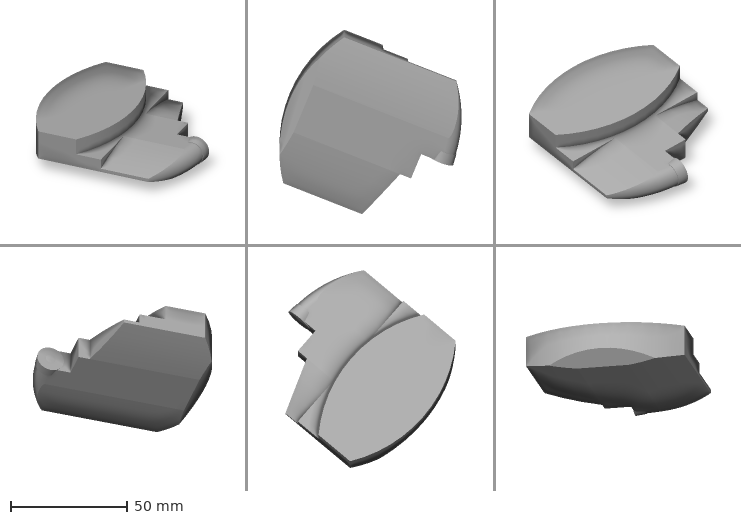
import cadquery as cq
import math

half_width = 35.0
slab_half_thickness = 5.21
lens_top_z = 12.5

lens_half_length = 20.15
lens_sagitta = 11.25
lens_corner_x = lens_half_length - lens_sagitta
edge_flat = 0.2

strip_half_width = 11.3
crown_edge_z = 0.8
crown_start_x = 20.6
taper_side_x = 27.7
taper_inner_x = 35.75
notch_x = 40.85
notch_y = -0.3
chamfer = 6.4

rim_radius = 56.3
rim_axis_x = -1.0
rim_round_centre = rim_radius - slab_half_thickness

tip_x = 49.9
tip_face_radius = 6.0
tip_back_radius = 5.5
tip_length = 4.8
dome_radius = 4.4 / 2
dome_height = 0.19

crown_centre_depth = (
    half_width**2 + crown_edge_z**2 - strip_half_width**2 - slab_half_thickness**2
) / (2 * (slab_half_thickness - crown_edge_z))
crown_radius = math.hypot(half_width, crown_edge_z + crown_centre_depth)


def make_lens():
    """Raised lens, standing over the full height before the underside is shaped."""
    return (
        cq.Workplane("XY")
        .workplane(offset=-slab_half_thickness)
        .moveTo(-lens_corner_x, half_width)
        .lineTo(lens_corner_x, half_width)
        .threePointArc((lens_half_length, 0), (lens_corner_x, -half_width))
        .lineTo(-lens_corner_x, -half_width)
        .lineTo(-lens_corner_x - edge_flat, -half_width + edge_flat)
        .threePointArc((-lens_half_length, 0), (-lens_corner_x - edge_flat, half_width - edge_flat))
        .close()
        .extrude(lens_top_z + slab_half_thickness)
    )


def make_slab():
    """Stepped and tapered slab, limited on the -Y side by its rounded rim."""
    outline = (
        cq.Workplane("XY")
        .workplane(offset=-slab_half_thickness)
        .moveTo(-lens_corner_x, half_width)
        .lineTo(taper_side_x, half_width)
        .lineTo(taper_inner_x, strip_half_width)
        .lineTo(notch_x, strip_half_width)
        .lineTo(notch_x, notch_y)
        .lineTo(rim_axis_x + rim_radius, notch_y)
        .lineTo(rim_axis_x + rim_radius, -half_width)
        .lineTo(-lens_corner_x, -half_width)
        .close()
        .extrude(2 * slab_half_thickness)
    )
    rim = (
        cq.Workplane("XZ")
        .moveTo(0, -slab_half_thickness)
        .lineTo(rim_round_centre, -slab_half_thickness)
        .threePointArc((rim_radius, 0), (rim_round_centre, slab_half_thickness))
        .lineTo(0, slab_half_thickness)
        .close()
        .revolve(360, (0, 0, 0), (0, 1, 0))
        .translate((rim_axis_x, 0, 0))
    )
    return outline.intersect(rim)


def crown_cutter(start_x, end_x, side, face):
    """Material outside the crown on one side (+1 is +Y) and one face (+1 is the top)."""
    middle_y = (strip_half_width + half_width) / 2
    middle_z = math.sqrt(crown_radius**2 - middle_y**2) - crown_centre_depth
    return (
        cq.Workplane("YZ")
        .workplane(offset=start_x)
        .moveTo(side * strip_half_width, face * slab_half_thickness)
        .threePointArc(
            (side * middle_y, face * middle_z),
            (side * half_width, face * crown_edge_z),
        )
        .lineTo(side * half_width, face * slab_half_thickness)
        .close()
        .extrude(end_x - start_x)
    )


def make_chamfer_cutter():
    """45 degree wedge under the left end."""
    return (
        cq.Workplane("XZ")
        .moveTo(-lens_half_length, -slab_half_thickness)
        .lineTo(-lens_half_length + chamfer, -slab_half_thickness)
        .lineTo(-lens_half_length, -slab_half_thickness + chamfer)
        .close()
        .extrude(half_width, both=True)
    )


def make_tip():
    """Tapered button with a domed face, turned about its own Y axis."""
    dome_sphere_radius = (dome_radius**2 + dome_height**2) / (2 * dome_height)
    dome_middle_r = dome_radius / 2
    dome_middle_y = (
        dome_height - dome_sphere_radius + math.sqrt(dome_sphere_radius**2 - dome_middle_r**2)
    )
    return (
        cq.Workplane("XY")
        .moveTo(0, -tip_length)
        .lineTo(tip_back_radius, -tip_length)
        .lineTo(tip_face_radius, 0)
        .lineTo(dome_radius, 0)
        .threePointArc((dome_middle_r, dome_middle_y), (0, dome_height))
        .close()
        .revolve(360, (0, 0, 0), (0, 1, 0))
        .translate((tip_x, 0, 0))
    )


def make_holder(tip):
    """Lens and slab in one piece, with a recess that fits the tip."""
    holder = make_lens().union(make_slab())
    right_end_x = rim_axis_x + rim_radius
    for side in (1, -1):
        holder = holder.cut(crown_cutter(-lens_half_length, right_end_x, side, -1))
        holder = holder.cut(crown_cutter(crown_start_x, right_end_x, side, 1))
    return holder.cut(make_chamfer_cutter()).cut(tip)


tip = make_tip()
holder = make_holder(tip)

result = cq.Compound.makeCompound([holder.val(), tip.val()])